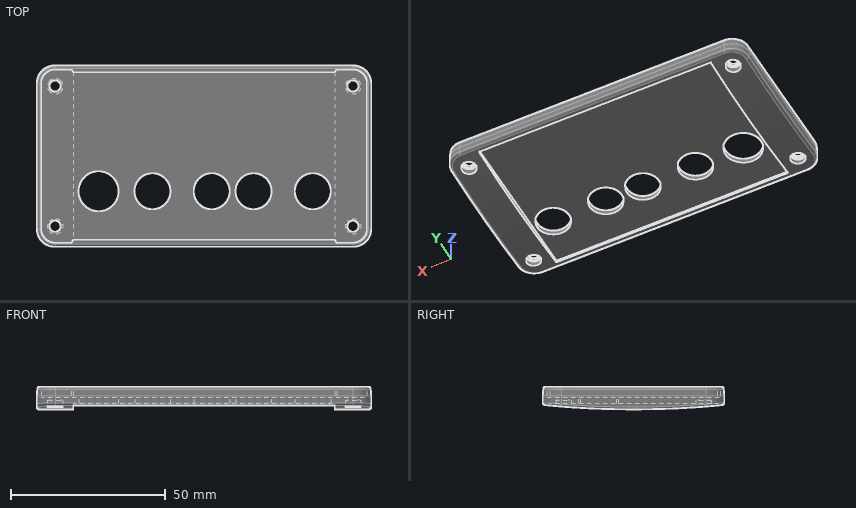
import cadquery as cq

length = 108.0
width = 58.6
height = 7.5
corner_radius = 5.9
parting_height = 4.4
draft_angle = 4.0
rim_radius = 0.9
crown_rise = 1.5
bottom_radius = 0.9

wall = 1.4
floor_height = 4.0

middle_length = 84.2
relief_height = 2.0
rib_thickness = 0.9
rib_end_slope = 0.6

screw_diameter = 3.6
counterbore_diameter = 5.0
counterbore_top = 3.0
screw_spacing_x = 96.1
screw_spacing_y = 45.3
panel_hole_y = -11.3
panel_holes = [
    (-34.0, 12.9),
    (-16.6, 11.6),
    (2.5, 11.6),
    (16.0, 11.6),
    (35.1, 11.6),
]


def rounded_plate(inset, bottom, top, taper=0.0):
    """Rounded rectangle, inset from the outer outline, between two heights."""
    return (
        cq.Workplane("XY", origin=(0, 0, bottom))
        .sketch()
        .rect(length - 2 * inset, width - 2 * inset)
        .vertices()
        .fillet(corner_radius - inset)
        .finalize()
        .extrude(top - bottom, taper=taper)
    )


def crowned_block():
    """Block as large as the shell, with an arched underside along Y."""
    half = width / 2
    return (
        cq.Workplane("YZ", origin=(-length / 2, 0, 0))
        .moveTo(-half, crown_rise)
        .threePointArc((0, 0), (half, crown_rise))
        .lineTo(half, height)
        .lineTo(-half, height)
        .close()
        .extrude(length)
    )


def outer_shell():
    lower = rounded_plate(0, 0, parting_height).intersect(crowned_block())
    lower = lower.faces("<Z").edges().fillet(bottom_radius)
    upper = rounded_plate(0, parting_height, height, draft_angle)
    upper = upper.faces(">Z").edges().fillet(rim_radius)
    return lower.union(upper)


def rib(side):
    """Thickening of one long wall; side is -1 or +1 along Y."""
    wall_y = side * (width / 2 - wall)
    face_y = wall_y - side * rib_thickness
    half = middle_length / 2 + rib_end_slope
    face_half = half - rib_end_slope
    return (
        cq.Workplane("XY", origin=(0, 0, floor_height))
        .polyline([(-half, wall_y), (half, wall_y), (face_half, face_y), (-face_half, face_y)])
        .close()
        .extrude(height - floor_height)
    )


def cavity():
    space = rounded_plate(wall, floor_height, height)
    for side in (-1, 1):
        space = space.cut(rib(side))
    return space


def underside_relief():
    relief_width = width - 2 * (wall + rib_thickness)
    return cq.Workplane("XY").box(middle_length, relief_width, relief_height, centered=(True, True, False))


def screw_holes():
    points = cq.Workplane("XY").rect(screw_spacing_x, screw_spacing_y, forConstruction=True).vertices()
    shafts = points.circle(screw_diameter / 2).extrude(height)
    heads = points.circle(counterbore_diameter / 2).extrude(counterbore_top)
    return shafts.union(heads)


result = outer_shell().cut(cavity()).cut(underside_relief()).cut(screw_holes())
for hole_x, diameter in panel_holes:
    hole = cq.Workplane("XY").center(hole_x, panel_hole_y).circle(diameter / 2).extrude(height)
    result = result.cut(hole)